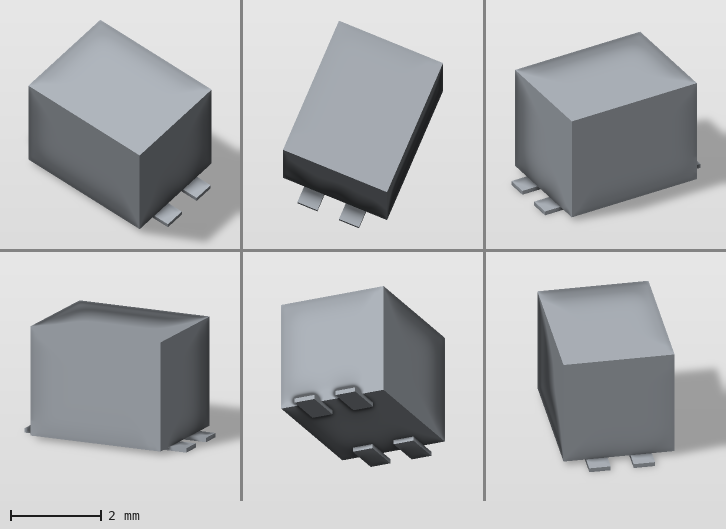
import cadquery as cq

overall_length = 3.98

housing_length = 3.2
housing_side = 2.5

lead_length = 0.94
lead_width = 0.48
lead_thickness = 0.1
lead_pitch = 1.0


def make_housing():
    """Plain block resting on top of the leads."""
    return (
        cq.Workplane("XY")
        .workplane(offset=lead_thickness)
        .rect(housing_length, housing_side)
        .extrude(housing_side)
    )


def make_lead(x_side, y_side):
    """Flat lead at one corner; each side is -1 or +1."""
    center_x = x_side * (overall_length - lead_length) / 2
    center_y = y_side * lead_pitch / 2
    return (
        cq.Workplane("XY")
        .center(center_x, center_y)
        .rect(lead_length, lead_width)
        .extrude(lead_thickness)
    )


housing = make_housing()
leads = [make_lead(x_side, y_side) for x_side in (-1, 1) for y_side in (-1, 1)]

result = cq.Compound.makeCompound([housing.val(), *[lead.val() for lead in leads]])